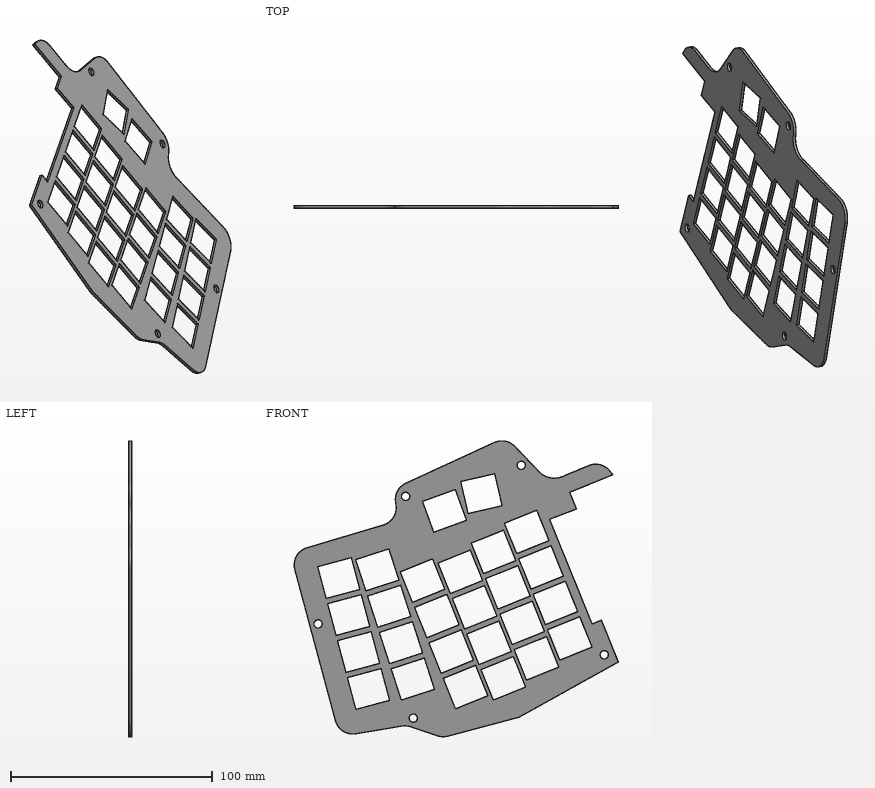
import cadquery as cq
import math


plate_thickness = 1.5
key_pitch = 19.0
key_width = 17.2
key_height = 16.2
rows = 4
screw_hole_diameter = 4.0
corner_radius = 9.0
hollow_radius = 10.5

pinky_lean = 15.0
ring_lean = 18.0
finger_lean = 22.0
pinky_bottom_key = (36.93, 23.77)
ring_bottom_key = (58.93, 28.68)
finger_bottom_key = (85.09, 24.73)
finger_stagger = [0.0, -3.0, 0.0, 3.0]

thumb_keys = [(74.66, 112.17, 20.0), (92.98, 120.72, 13.0)]

screw_holes = [(11.91, 56.08), (59.16, 9.32), (153.93, 40.73), (112.75, 134.77), (55.36, 119.35)]

outline = [
    (22.58, 0.14, corner_radius),
    (55.73, 5.69, corner_radius),
    (73.73, -0.39, corner_radius),
    (111.65, 9.71, 0),
    (160.97, 37.13, 0),
    (152.55, 58.02, 0),
    (147.95, 56.08, 0),
    (126.86, 107.98, 0),
    (140.23, 113.05, 0),
    (136.87, 121.37, 0),
    (158.25, 130.06, 0),
    (152.60, 137.37, corner_radius),
    (126.52, 126.47, hollow_radius),
    (105.17, 148.85, corner_radius),
    (48.80, 122.86, corner_radius),
    (52.27, 107.56, corner_radius),
    (-1.97, 91.43, corner_radius),
]


def along_lean(start, lean, across, along):
    """Point reached from start by going across and along a column leaning by lean degrees."""
    angle = math.radians(lean)
    x = start[0] + across * math.cos(angle) - along * math.sin(angle)
    z = start[1] + across * math.sin(angle) + along * math.cos(angle)
    return x, z


def column_keys(bottom_key, lean):
    """Centres and lean of the keys of one column, from the bottom up."""
    return [(*along_lean(bottom_key, lean, 0, row * key_pitch), lean) for row in range(rows)]


def all_keys():
    """Centre X, centre Z and lean of every key opening."""
    keys = column_keys(pinky_bottom_key, pinky_lean) + column_keys(ring_bottom_key, ring_lean)
    for index, stagger in enumerate(finger_stagger):
        bottom_key = along_lean(finger_bottom_key, finger_lean, index * key_pitch, stagger)
        keys += column_keys(bottom_key, finger_lean)
    return keys + thumb_keys


def make_blank():
    """Solid plate with its outline corners rounded."""
    corners = [(x, z) for x, z, _ in outline]
    blank = cq.Workplane("XZ").polyline(corners).close().extrude(-plate_thickness)
    for x, z, radius in outline:
        if radius > 0:
            corner_edge = cq.selectors.NearestToPointSelector((x, plate_thickness / 2, z))
            blank = blank.edges("|Y").edges(corner_edge).fillet(radius)
    return blank


def cut_keys(plate):
    """Cut a rectangular opening through the plate for every key."""
    for x, z, lean in all_keys():
        opening = cq.Workplane("XZ").center(x, z).transformed(rotate=(0, 0, lean))
        plate = plate.cut(opening.rect(key_width, key_height).extrude(-plate_thickness))
    return plate


def cut_screw_holes(plate):
    """Drill the screw holes through the plate."""
    holes = cq.Workplane("XZ").pushPoints(screw_holes).circle(screw_hole_diameter / 2)
    return plate.cut(holes.extrude(-plate_thickness))


result = cut_screw_holes(cut_keys(make_blank()))